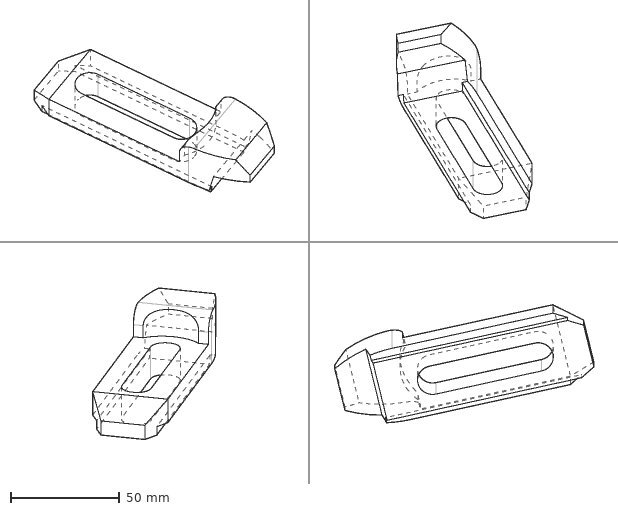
import cadquery as cq

length = 118.0
width = 36.0
height = 30.0
end_width = 21.0

tail_height = 7.1
tail_length = 12.9
body_height = 15.9
step_x = 84.0
step_radius = 8.0
nose_chamfer_x = 112.0
nose_chamfer_z = 20.1
nose_bottom = 15.0
heel_top_x = 101.8
heel_bottom_x = 98.9

nose_start_x = 89.0
nose_drop = (width - end_width) / 2
nose_length = length - nose_start_x
nose_radius = (nose_length**2 + nose_drop**2) / (2 * nose_drop)

base_width = 28.8
base_height = 4.2

slot_start = 17.0
slot_end = 81.0
slot_width = 13.9
relief_end_x = 89.0
relief_radius = 20.3


def side_body():
    """Full-width extrusion of the stepped side profile."""
    profile = (
        cq.Workplane("XZ")
        .lineTo(heel_bottom_x, 0)
        .lineTo(heel_top_x, nose_bottom)
        .lineTo(length, nose_bottom)
        .lineTo(length, nose_chamfer_z)
        .lineTo(nose_chamfer_x, height)
        .lineTo(step_x + step_radius, height)
        .radiusArc((step_x, height - step_radius), -step_radius)
        .lineTo(step_x, body_height)
        .lineTo(tail_length, body_height)
        .lineTo(0, tail_height)
        .close()
    )
    return profile.extrude(width / 2, both=True)


def plan_body():
    """Plan outline with a tapered tail and sides that curve in toward the nose."""
    half = width / 2
    half_end = end_width / 2
    return (
        cq.Workplane("XY")
        .moveTo(0, -half_end)
        .lineTo(tail_length, -half)
        .lineTo(nose_start_x, -half)
        .radiusArc((length, -half_end), -nose_radius)
        .lineTo(length, half_end)
        .radiusArc((nose_start_x, half), -nose_radius)
        .lineTo(tail_length, half)
        .lineTo(0, half_end)
        .close()
        .extrude(height)
    )


def base_side_cuts():
    """Strips removed along both lower edges to leave the narrow base."""
    lower = cq.Workplane("XY").box(length, width, base_height, centered=(False, True, False))
    base = cq.Workplane("XY").box(length, base_width, base_height, centered=(False, True, False))
    return lower.cut(base)


def slot():
    """Round-ended slot through the body."""
    return (
        cq.Workplane("XY")
        .center((slot_start + slot_end) / 2, 0)
        .slot2D(slot_end - slot_start, slot_width)
        .extrude(height)
    )


def washer_relief():
    """Upright cylindrical relief in the step face, above the body top."""
    return (
        cq.Workplane("XY", origin=(relief_end_x - relief_radius, 0, body_height))
        .circle(relief_radius)
        .extrude(height - body_height)
    )


result = side_body().intersect(plan_body()).cut(base_side_cuts()).cut(slot()).cut(washer_relief())